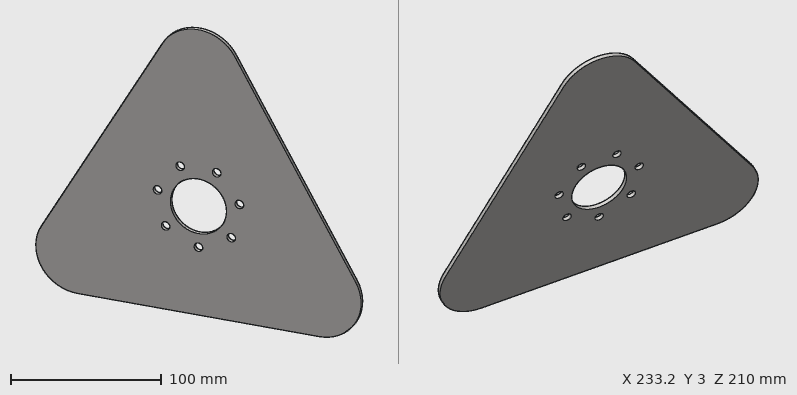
import cadquery as cq
import math

overall_width = 233.2
thickness = 3.0
corner_radius = 30.0
bore_diameter = 40.0
bolt_hole_diameter = 6.0
bolt_circle_radius = 30.0
bolt_hole_count = 7

corner_spacing = overall_width - 2 * corner_radius
centre_to_corner = corner_spacing / math.sqrt(3)
centre_to_base = centre_to_corner / 2


def rounded_triangle_plate():
    """Equilateral plate in the XZ plane, apex towards +Z, with rounded corners."""
    corner_centres = [
        (-corner_spacing / 2, -centre_to_base),
        (corner_spacing / 2, -centre_to_base),
        (0, centre_to_corner),
    ]
    return (
        cq.Workplane("XZ")
        .polyline(corner_centres)
        .close()
        .offset2D(corner_radius, "arc")
        .extrude(thickness / 2, both=True)
    )


def through_holes():
    """Cutters for the central bore and the ring of bolt holes, first hole at -Z."""
    bore = cq.Workplane("XZ").circle(bore_diameter / 2).extrude(thickness, both=True)
    bolt_holes = (
        cq.Workplane("XZ")
        .polarArray(bolt_circle_radius, -90, 360, bolt_hole_count)
        .circle(bolt_hole_diameter / 2)
        .extrude(thickness, both=True)
    )
    return bore.add(bolt_holes).combine()


result = rounded_triangle_plate().cut(through_holes())